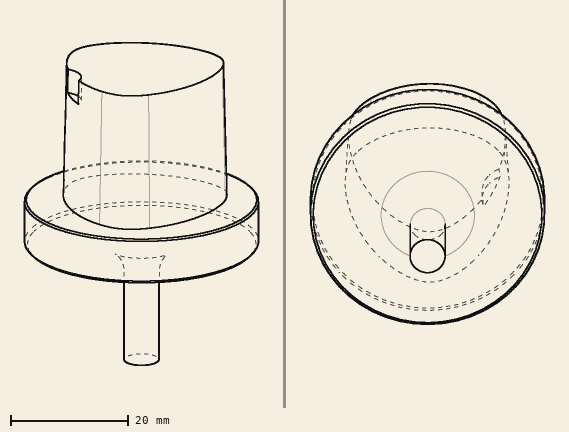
import cadquery as cq
import math

total_height = 53.0
flange_bottom = 21.0
flange_top = 29.0

pin_diameter = 6.0
flange_diameter = 40.0
neck_radius = 5.0
flange_top_chamfer = 0.3
flange_bottom_chamfer = 0.5

base_mean_radius = 14.0
top_mean_radius = 13.4
lobe_eccentricity = 1.0
lobe_count = 3
points_per_segment = 9

notch_radius = 4.35
notch_depth = 4.25
notch_inner_distance = 11.0


def lobed_point(mean_radius, angle):
    """Point of the constant-width curve whose outward normal lies at this angle."""
    phase = lobe_count * (angle - math.pi / 2)
    support = mean_radius + lobe_eccentricity * math.cos(phase)
    slope = -lobe_count * lobe_eccentricity * math.sin(phase)
    x = support * math.cos(angle) - slope * math.sin(angle)
    y = support * math.sin(angle) + slope * math.cos(angle)
    return x, y


def lobed_wire(mean_radius, z):
    """Closed outline of alternating lobe and flank curves, tangent where they meet."""
    segment_angle = math.pi / lobe_count
    edges = []
    for segment in range(2 * lobe_count):
        start = segment * segment_angle
        end = start + segment_angle
        points = []
        for step in range(points_per_segment):
            angle = start + segment_angle * step / (points_per_segment - 1)
            points.append(cq.Vector(*lobed_point(mean_radius, angle), z))
        tangents = [cq.Vector(-math.sin(a), math.cos(a), 0) for a in (start, end)]
        edges.append(cq.Edge.makeSpline(points, tangents=tangents))
    return cq.Wire.assembleEdges(edges)


def make_shank():
    """Tapered shank standing on the flange."""
    base = lobed_wire(base_mean_radius, flange_top)
    top = lobed_wire(top_mean_radius, total_height)
    return cq.Workplane(cq.Solid.makeLoft([base, top], True))


def make_notch():
    """Cylindrical cutter for the notch at the top of the shank."""
    return (
        cq.Workplane("XY", origin=(0, 0, total_height - notch_depth))
        .center(0, -(notch_inner_distance + notch_radius))
        .circle(notch_radius)
        .extrude(notch_depth)
    )


def make_flange_and_pin():
    """Revolved pin, concave neck and chamfered flange."""
    pin_radius = pin_diameter / 2
    flange_radius = flange_diameter / 2
    neck_outer = pin_radius + neck_radius
    neck_bottom = flange_bottom - neck_radius
    neck_mid_offset = neck_radius * math.sqrt(0.5)
    return (
        cq.Workplane("XZ")
        .lineTo(pin_radius, 0)
        .lineTo(pin_radius, neck_bottom)
        .threePointArc(
            (neck_outer - neck_mid_offset, neck_bottom + neck_mid_offset),
            (neck_outer, flange_bottom),
        )
        .lineTo(flange_radius - flange_bottom_chamfer, flange_bottom)
        .lineTo(flange_radius, flange_bottom + flange_bottom_chamfer)
        .lineTo(flange_radius, flange_top - flange_top_chamfer)
        .lineTo(flange_radius - flange_top_chamfer, flange_top)
        .lineTo(0, flange_top)
        .close()
        .revolve(360, (0, 0, 0), (0, 1, 0))
    )


result = make_flange_and_pin().union(make_shank().cut(make_notch()))